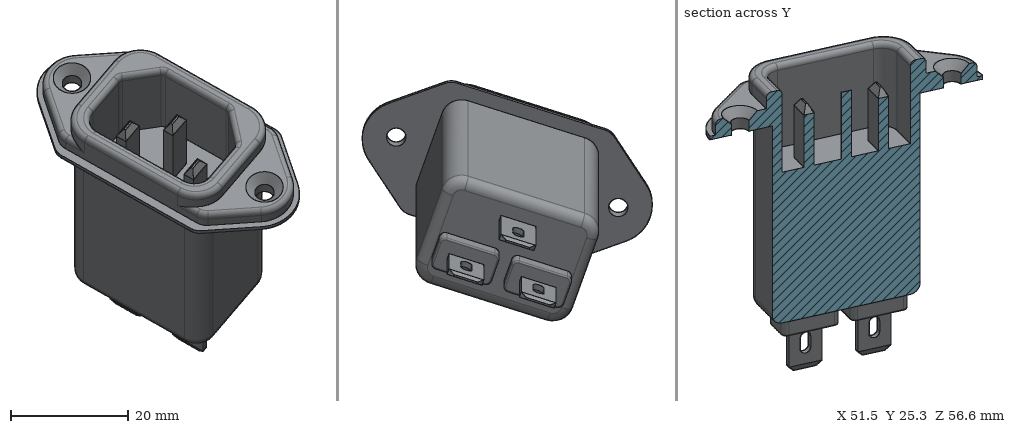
import cadquery as cq
import math

TOTAL_HEIGHT = 56.6
SELECT_MARGIN = 0.05
EMBED = 1.15

PLATE_LENGTH = 51.5
PLATE_WIDTH = 25.3
PLATE_THICKNESS = 0.8
STEP_INSET = 1.0
STEP_TOP = 3.7
END_RADIUS = 7.0
SLANT_ANGLE = 50.5
FLANGE_CORNER_RADIUS = 3.0
EDGE_FILLET = 1.0

HOLE_SPACING = 40.0
HOLE_DIAMETER = 3.3
SINK_DIAMETER = 6.4
SINK_ANGLE = 90.0

SHROUD_LENGTH = 30.3
SHROUD_WIDTH = 22.2
SHROUD_CORNER_RADIUS = 5.5
SHROUD_TOP = 6.75

CAVITY_LENGTH = 24.1
CAVITY_WIDTH = 16.4
CAVITY_DEPTH = 16.0
CAVITY_CHAMFER = 5.3
CAVITY_CHAMFER_RADIUS = 1.0
CAVITY_CORNER_RADIUS = 3.0

PIN_THICKNESS = 2.0
PIN_WIDTH = 4.0
PIN_TIP_THICKNESS = 0.35
PIN_TIP_WIDTH = 2.0
PIN_TIP_HEIGHT = 1.5
EARTH_PIN_TOP = 5.1
OUTER_PIN_TOP = 2.3
PIN_SPACING = 7.0
PIN_ROW_OFFSET = 2.0

BODY_LENGTH = 28.0
BODY_WIDTH = 20.45
BODY_CORNER_RADIUS = 3.5
BODY_BOTTOM_FILLET = 2.0
BODY_DEPTH = 38.55

TAB_WIDTH = 6.3
TAB_THICKNESS = 1.0
TAB_TIP_WIDTH = 4.25
TAB_TIP_THICKNESS = 0.35
TAB_TIP_HEIGHT = 1.0
TAB_SPACING = 6.5
TAB_SLOT_WIDTH = 2.0
TAB_SLOT_LENGTH = 4.0
OUTER_TAB_Y = -3.0
OUTER_TAB_END = TOTAL_HEIGHT - SHROUD_TOP
OUTER_SLOT_FROM_END = 5.1
EARTH_TAB_Y = 5.45
EARTH_TAB_END = 48.8
EARTH_SLOT_FROM_END = 4.75
PAD_LENGTH = 10.7
PAD_WIDTH = 5.95
PAD_HEIGHT = 2.85
PAD_CORNER_RADIUS = 1.0
PAD_EDGE_FILLET = 0.3


def rounded_block(length, width, bottom, top, corner_radius):
    """Upright block centred on Z with rounded vertical edges."""
    block = cq.Workplane("XY").workplane(offset=bottom).rect(length, width).extrude(top - bottom)
    return block.edges("|Z").fillet(corner_radius)


def flange_block(inset, width, height):
    """Elongated hexagon with its two pointed ends rounded to arcs."""
    radius = END_RADIUS - inset
    arc_center = PLATE_LENGTH / 2 - END_RADIUS
    angle = math.radians(SLANT_ANGLE)
    tangent_x = arc_center + radius * math.cos(angle)
    tangent_y = radius * math.sin(angle)
    end_x = arc_center + radius
    half_width = width / 2
    corner_x = (arc_center * math.cos(angle) + radius - half_width * math.sin(angle)) / math.cos(angle)
    block = (
        cq.Workplane("XY")
        .moveTo(-corner_x, half_width)
        .lineTo(corner_x, half_width)
        .lineTo(tangent_x, tangent_y)
        .threePointArc((end_x, 0), (tangent_x, -tangent_y))
        .lineTo(corner_x, -half_width)
        .lineTo(-corner_x, -half_width)
        .lineTo(-tangent_x, -tangent_y)
        .threePointArc((-end_x, 0), (-tangent_x, tangent_y))
        .close()
        .extrude(height)
    )
    corners = cq.selectors.BoxSelector(
        (-corner_x - SELECT_MARGIN, -width, 0), (corner_x + SELECT_MARGIN, width, height)
    )
    return block.edges("|Z").edges(corners).fillet(FLANGE_CORNER_RADIUS)


def tapered_blade(size, tip_size, length, tip_height):
    """Rectangular blade standing up from Z = 0, its last stretch tapered on all four sides."""
    shank_length = length - tip_height
    shank = cq.Workplane("XY").rect(*size).extrude(shank_length)
    tip = (
        cq.Workplane("XY")
        .workplane(offset=shank_length)
        .rect(*size)
        .workplane(offset=tip_height)
        .rect(*tip_size)
        .loft(ruled=True)
    )
    return shank.union(tip)


def mounting_hole(x):
    """Through hole with a conical countersink at the top of the flange."""
    hole_radius = HOLE_DIAMETER / 2
    sink_radius = SINK_DIAMETER / 2
    sink_depth = (sink_radius - hole_radius) / math.tan(math.radians(SINK_ANGLE / 2))
    profile = (
        cq.Workplane("XZ")
        .lineTo(hole_radius, 0)
        .lineTo(hole_radius, STEP_TOP - sink_depth)
        .lineTo(sink_radius, STEP_TOP)
        .lineTo(0, STEP_TOP)
        .close()
    )
    return profile.revolve(360, (0, 0, 0), (0, 1, 0)).translate((x, 0, 0))


def cavity():
    """Socket opening with two cut corners at +Y and two round corners at -Y."""
    half_length = CAVITY_LENGTH / 2
    half_width = CAVITY_WIDTH / 2
    block = (
        cq.Workplane("XY")
        .workplane(offset=SHROUD_TOP - CAVITY_DEPTH)
        .moveTo(-half_length, -half_width)
        .lineTo(half_length, -half_width)
        .lineTo(half_length, half_width - CAVITY_CHAMFER)
        .lineTo(half_length - CAVITY_CHAMFER, half_width)
        .lineTo(-half_length + CAVITY_CHAMFER, half_width)
        .lineTo(-half_length, half_width - CAVITY_CHAMFER)
        .close()
        .extrude(CAVITY_DEPTH)
    )
    block = block.edges("|Z and <Y").fillet(CAVITY_CORNER_RADIUS)
    cut_corners = cq.selectors.BoxSelector(
        (-CAVITY_LENGTH, 0, -CAVITY_DEPTH), (CAVITY_LENGTH, CAVITY_WIDTH, CAVITY_DEPTH)
    )
    return block.edges("|Z").edges(cut_corners).fillet(CAVITY_CHAMFER_RADIUS)


def pin(x, y, top):
    """Contact pin standing on the cavity floor."""
    base = SHROUD_TOP - CAVITY_DEPTH - EMBED
    blade = tapered_blade(
        (PIN_THICKNESS, PIN_WIDTH), (PIN_TIP_THICKNESS, PIN_TIP_WIDTH), top - base, PIN_TIP_HEIGHT
    )
    return blade.translate((x, y, base))


def tab(x, y, end, slot_from_end):
    """Slotted solder tab hanging from the body to a given depth."""
    base = BODY_DEPTH - EMBED
    length = end - base
    blade = tapered_blade(
        (TAB_WIDTH, TAB_THICKNESS), (TAB_TIP_WIDTH, TAB_TIP_THICKNESS), length, TAB_TIP_HEIGHT
    )
    slot = (
        cq.Workplane("XZ")
        .center(0, length - slot_from_end)
        .slot2D(TAB_SLOT_LENGTH, TAB_SLOT_WIDTH, 90)
        .extrude(TAB_THICKNESS, both=True)
    )
    return blade.cut(slot).rotate((0, 0, 0), (1, 0, 0), 180).translate((x, y, -base))


def pad(x, y):
    """Small block under the body that an outer tab passes through."""
    block = rounded_block(
        PAD_LENGTH, PAD_WIDTH, -BODY_DEPTH - PAD_HEIGHT, -BODY_DEPTH + EMBED, PAD_CORNER_RADIUS
    )
    return block.faces("<Z").edges().fillet(PAD_EDGE_FILLET).translate((x, y, 0))


plate = flange_block(0, PLATE_WIDTH, PLATE_THICKNESS)
step = flange_block(STEP_INSET, SHROUD_WIDTH, STEP_TOP).faces(">Z").edges().fillet(EDGE_FILLET)
shroud = rounded_block(SHROUD_LENGTH, SHROUD_WIDTH, 0, SHROUD_TOP, SHROUD_CORNER_RADIUS)
shroud = shroud.faces(">Z").edges().fillet(EDGE_FILLET)
body = rounded_block(BODY_LENGTH, BODY_WIDTH, -BODY_DEPTH, PLATE_THICKNESS, BODY_CORNER_RADIUS)
body = body.faces("<Z").edges().fillet(BODY_BOTTOM_FILLET)
result = plate.union(step).union(shroud).union(body)

result = result.cut(mounting_hole(-HOLE_SPACING / 2)).cut(mounting_hole(HOLE_SPACING / 2))

result = result.cut(cavity())
rim_x = CAVITY_LENGTH / 2 + SELECT_MARGIN
rim_y = CAVITY_WIDTH / 2 + SELECT_MARGIN
rim = cq.selectors.BoxSelector(
    (-rim_x, -rim_y, SHROUD_TOP - SELECT_MARGIN), (rim_x, rim_y, SHROUD_TOP + SELECT_MARGIN)
)
result = result.edges(rim).fillet(EDGE_FILLET)

result = result.union(pin(0, PIN_ROW_OFFSET, EARTH_PIN_TOP))
result = result.union(tab(0, EARTH_TAB_Y, EARTH_TAB_END, EARTH_SLOT_FROM_END))

for side in (-1, 1):
    result = result.union(pin(side * PIN_SPACING, -PIN_ROW_OFFSET, OUTER_PIN_TOP))
    result = result.union(pad(side * TAB_SPACING, OUTER_TAB_Y))
    result = result.union(tab(side * TAB_SPACING, OUTER_TAB_Y, OUTER_TAB_END, OUTER_SLOT_FROM_END))